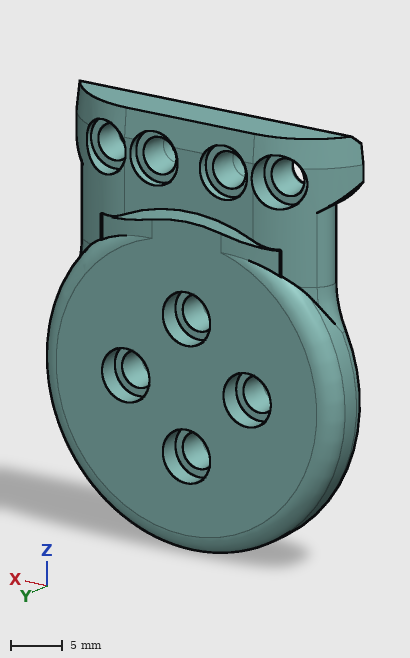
import cadquery as cq
import math

total_height = 44.0
disc_diameter = 34.0
plate_depth = 6.0
edge_round = 2.0

arch_depth = 5.6
arch_flat_half = 7.4
arch_radius = 10.25

top_taper_height = 2.95
top_taper_inset = 0.3
top_chamfer = 0.85

head_corner_drop = 4.65
head_mid_x = 14.4
head_mid_drop = 6.8
head_neck_drop = 7.95

crown_flat_half = 3.95
crown_arch_radius = 26.85
crown_top_radius = 16.9
crown_ramp_run = 0.92

flank_top = 12.0

hole_diameter = 3.2
bolt_circle_radius = 7.0
head_hole_drop = 4.5
inner_hole_x = 4.0
outer_hole_x = 10.0

hole_taper_length = 3.1
hole_taper_diameter = 3.8
bore_diameter = 5.45
inner_taper_start = 1.45
outer_taper_start = 0.25
disc_taper_start = 0.65

disc_radius = disc_diameter / 2
top_z = total_height - disc_radius
taper_z = top_z - top_taper_height


def arch_half_width(depth, flat_half, radius):
    """Half width of an arch on the front plane."""
    return flat_half + math.sqrt(radius**2 - (radius - depth) ** 2)


def arch_section(z, depth, flat_half, radius):
    """Closed arch outline at height z."""
    front_x = arch_half_width(depth, flat_half, radius)
    half_angle = math.asin((front_x - flat_half) / radius) / 2
    mid_x = flat_half + radius * math.sin(half_angle)
    mid_y = depth - radius * (1 - math.cos(half_angle))
    return (
        cq.Workplane("XY", origin=(0, 0, z))
        .moveTo(-front_x, 0)
        .lineTo(front_x, 0)
        .threePointArc((mid_x, mid_y), (flat_half, depth))
        .lineTo(-flat_half, depth)
        .threePointArc((-mid_x, mid_y), (-front_x, 0))
        .close()
    )


def mirrored(half):
    """Join a +X half with its mirror image."""
    return half.union(half.mirror("YZ"))


shoulder_y = arch_depth - arch_radius
centre_gap = arch_radius - edge_round
round_x = arch_flat_half + math.sqrt(centre_gap**2 - (edge_round - shoulder_y) ** 2)
neck_half_width = round_x + edge_round
touch_angle = math.atan2(edge_round - shoulder_y, round_x - arch_flat_half)
shoulder_mid_angle = (touch_angle + math.pi / 2) / 2
round_mid_angle = (touch_angle - math.pi / 2) / 2


def neck_half_section(z):
    """+X half of the rounded neck section at height z."""

    def on_shoulder(angle):
        return (
            arch_flat_half + arch_radius * math.cos(angle),
            shoulder_y + arch_radius * math.sin(angle),
        )

    round_mid = (
        round_x + edge_round * math.cos(round_mid_angle),
        edge_round + edge_round * math.sin(round_mid_angle),
    )
    return (
        cq.Workplane("XY", origin=(0, 0, z))
        .lineTo(round_x, 0)
        .threePointArc(round_mid, on_shoulder(touch_angle))
        .threePointArc(on_shoulder(shoulder_mid_angle), (arch_flat_half, arch_depth))
        .lineTo(0, arch_depth)
        .close()
    )


def make_disc():
    disc = cq.Workplane("XZ").circle(disc_radius).extrude(-plate_depth)
    return disc.faces("<Y or >Y").edges().fillet(edge_round)


def make_neck():
    return mirrored(neck_half_section(0).extrude(taper_z))


def make_flanks():
    """Neck section turned about the flank axis until it is tangent to the disc."""
    flank_radius = (neck_half_width**2 + flank_top**2 - disc_radius**2) / (
        2 * (disc_radius - neck_half_width)
    )
    axis_x = neck_half_width + flank_radius
    turn = math.degrees(math.atan2(flank_top, axis_x))
    flank = neck_half_section(flank_top).revolve(turn, (axis_x, 0), (axis_x, -1))
    return mirrored(flank)


def make_head():
    straight = arch_section(0, arch_depth, arch_flat_half, arch_radius).extrude(taper_z)
    lower = arch_section(taper_z, arch_depth, arch_flat_half, arch_radius)
    upper = arch_section(
        top_z, arch_depth - top_taper_inset, arch_flat_half, arch_radius - top_taper_inset
    )
    taper = cq.Workplane(
        cq.Solid.makeLoft([lower.wires().val(), upper.wires().val()], True)
    )
    taper = taper.faces(">Z").edges("<Y").chamfer(top_chamfer)
    corner_x = arch_half_width(arch_depth, arch_flat_half, arch_radius)
    head_side = (
        cq.Workplane("XZ")
        .moveTo(0, top_z)
        .lineTo(corner_x, top_z)
        .lineTo(corner_x, top_z - head_corner_drop)
        .threePointArc(
            (head_mid_x, top_z - head_mid_drop), (round_x, top_z - head_neck_drop)
        )
        .lineTo(0, top_z - head_neck_drop)
        .close()
        .extrude(-plate_depth)
    )
    return straight.intersect(mirrored(head_side)).union(taper)


def make_crown():
    """Low arch on the back, ended by a conical ramp concentric with the disc."""
    bar = arch_section(0, plate_depth, crown_flat_half, crown_arch_radius).extrude(top_z)
    rise = plate_depth - arch_depth
    ramp = (
        cq.Workplane("XY")
        .moveTo(0, arch_depth - rise)
        .lineTo(crown_top_radius + 2 * crown_ramp_run, arch_depth - rise)
        .lineTo(crown_top_radius, plate_depth)
        .lineTo(0, plate_depth)
        .close()
        .revolve(360, (0, 0), (0, 1))
    )
    return bar.intersect(ramp)


def stepped_holes(centres, taper_start):
    """Hole cutters: straight at the front, then tapered, then a wide bore open at the back."""
    seat = taper_start + hole_taper_length
    cutter = (
        cq.Workplane("XY")
        .lineTo(hole_diameter / 2, 0)
        .lineTo(hole_diameter / 2, taper_start)
        .lineTo(hole_taper_diameter / 2, seat)
        .lineTo(bore_diameter / 2, seat)
        .lineTo(bore_diameter / 2, plate_depth)
        .lineTo(0, plate_depth)
        .close()
        .revolve(360, (0, 0), (0, 1))
        .val()
    )
    return cq.Compound.makeCompound([cutter.translate(cq.Vector(x, 0, z)) for x, z in centres])


def cut_holes(body):
    head_hole_z = top_z - head_hole_drop
    inner = [(side * inner_hole_x, head_hole_z) for side in (-1, 1)]
    outer = [(side * outer_hole_x, head_hole_z) for side in (-1, 1)]
    around_disc = [(side * bolt_circle_radius, 0) for side in (-1, 1)]
    around_disc += [(0, side * bolt_circle_radius) for side in (-1, 1)]
    groups = ((inner, inner_taper_start), (outer, outer_taper_start), (around_disc, disc_taper_start))
    for centres, taper_start in groups:
        body = body.cut(cq.Workplane(stepped_holes(centres, taper_start)))
    return body


body = make_disc().union(make_neck()).union(make_flanks()).union(make_head()).union(make_crown())
result = cut_holes(body)